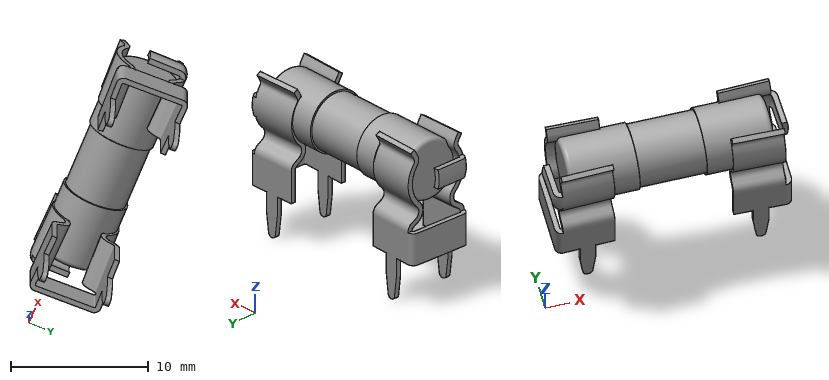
import cadquery as cq
import math

fuse_axis_z = 0.16
tube_diameter = 4.71
tube_length = 5.04
cap_diameter = 5.0
fuse_length = 15.37
cap_edge_radius = 0.37

sheet = 0.4
clip_width = 5.5
back_x = -8.87
corner_radius = 0.51
wall_length = 3.9
toe_in = 1.6
plate_top = -3.78
plate_bottom = -6.4
half_width = clip_width / 2
corner_x = back_x + corner_radius
corner_y = half_width - corner_radius

jaw_radius = 2.72
shoulder_radius = 0.75
waist_radius = 0.6
waist_angle = 46.0
lip_radius = 0.4
lip_bend_angle = 36.0
lip_flare = 30.0
lip_top = 2.75

leg_x = -6.5
leg_width = 1.17
leg_taper_start = -7.89
leg_tip_start = -9.57
leg_tip_width = 0.73
leg_bottom = -9.92

finger_height = 1.57
finger_bend_radius = 0.7
finger_length = 2.45


def polar(centre, radius, degrees):
    """Point at a distance and direction from a centre."""
    angle = math.radians(degrees)
    return (centre[0] + radius * math.cos(angle), centre[1] + radius * math.sin(angle))


def wall_bends():
    """Shoulder, waist, jaw and lip of the +Y wall: centre, outer and inner radius, start and end angle."""
    shoulder = (half_width - shoulder_radius, plate_top)
    waist = polar((0, 0), jaw_radius + waist_radius, -waist_angle)
    lip = polar((0, 0), jaw_radius + lip_radius, lip_bend_angle)
    across = waist[0] - shoulder[0]
    up = waist[1] - shoulder[1]
    tangent_turn = math.acos((shoulder_radius + waist_radius) / math.hypot(across, up))
    slope = math.degrees(math.atan2(up, across) - tangent_turn)
    return [
        (shoulder, shoulder_radius, shoulder_radius - sheet, 0, slope),
        (waist, waist_radius, waist_radius + sheet, 180 + slope, 180 - waist_angle),
        ((0, 0), jaw_radius, jaw_radius - sheet, -waist_angle, lip_bend_angle),
        (lip, lip_radius, lip_radius + sheet, 180 + lip_bend_angle, 180 - lip_flare),
    ]


def arc_points(centre, radius, start, end):
    """Middle and end point of an arc between two angles."""
    return polar(centre, radius, (start + end) / 2), polar(centre, radius, end)


def wall_section():
    """Closed outline of the +Y side wall across X."""
    shoulder, waist, jaw, lip = wall_bends()
    outer_arcs = []
    inner_arcs = []
    for centre, outer, inner, start, end in (shoulder, waist, jaw, lip):
        outer_arcs.append((centre, outer, start, end))
        inner_arcs.append((centre, inner, end, start))

    outer_waist_start = polar(waist[0], waist[1], waist[3])
    inner_lip_start = polar(lip[0], lip[2], lip[4])
    inner_shoulder_start = polar(shoulder[0], shoulder[2], shoulder[4])
    flare_run = (lip_top - inner_lip_start[1]) * math.tan(math.radians(lip_flare))
    inner_tip = (inner_lip_start[0] + flare_run, lip_top)
    outer_tip = polar(inner_tip, sheet, -lip_flare)

    return (
        cq.Workplane("YZ", origin=(corner_x, 0, 0))
        .moveTo(half_width, plate_bottom)
        .lineTo(half_width, plate_top)
        .threePointArc(*arc_points(*outer_arcs[0]))
        .lineTo(*outer_waist_start)
        .threePointArc(*arc_points(*outer_arcs[1]))
        .threePointArc(*arc_points(*outer_arcs[2]))
        .threePointArc(*arc_points(*outer_arcs[3]))
        .lineTo(*outer_tip)
        .lineTo(*inner_tip)
        .lineTo(*inner_lip_start)
        .threePointArc(*arc_points(*inner_arcs[3]))
        .threePointArc(*arc_points(*inner_arcs[2]))
        .threePointArc(*arc_points(*inner_arcs[1]))
        .lineTo(*inner_shoulder_start)
        .threePointArc(*arc_points(*inner_arcs[0]))
        .lineTo(half_width - sheet, plate_bottom)
        .close()
    )


def leg():
    """Tapered solder leg with a round tip, below the +Y side wall."""
    return (
        cq.Workplane("XZ", origin=(leg_x, half_width, 0))
        .moveTo(-leg_width / 2, plate_bottom)
        .lineTo(-leg_width / 2, leg_taper_start)
        .lineTo(-leg_tip_width / 2, leg_tip_start)
        .threePointArc((0, leg_bottom), (leg_tip_width / 2, leg_tip_start))
        .lineTo(leg_width / 2, leg_taper_start)
        .lineTo(leg_width / 2, plate_bottom)
        .close()
        .extrude(sheet)
    )


def finger_section(across, normal):
    """Slice of the jaw's round section, set off from the finger's bend axis along `across`."""
    axis_y = jaw_radius - finger_bend_radius
    half_height = finger_height / 2
    inner_radius = jaw_radius - sheet
    outer_edge = math.sqrt(jaw_radius**2 - half_height**2) - axis_y
    inner_edge = math.sqrt(inner_radius**2 - half_height**2) - axis_y
    return (
        cq.Workplane(cq.Plane(origin=(corner_x, axis_y, 0), xDir=across, normal=normal))
        .moveTo(outer_edge, -half_height)
        .threePointArc((jaw_radius - axis_y, 0), (outer_edge, half_height))
        .lineTo(inner_edge, half_height)
        .threePointArc((inner_radius - axis_y, 0), (inner_edge, -half_height))
        .close()
    )


def finger():
    """Finger that turns round from the +Y jaw across the end of the fuse."""
    bend = finger_section((0, 1, 0), (1, 0, 0)).revolve(90, (0, 0), (0, 1))
    straight = finger_section((-1, 0, 0), (0, 1, 0)).extrude(-finger_length)
    return bend.union(straight)


def lean_in(wall):
    """Turn a +Y side wall about its corner bend, towards the fuse."""
    return wall.rotate((corner_x, corner_y, 0), (corner_x, corner_y, 1), -toe_in)


def corner_bend():
    """Bend from the back plate to the leaning +Y side wall."""
    plate_height = plate_top - plate_bottom
    return (
        cq.Workplane("XZ", origin=(corner_x, corner_y, plate_bottom))
        .moveTo(-corner_radius, 0)
        .rect(sheet, plate_height, centered=False)
        .revolve(90 + toe_in, (0, 0), (0, -1))
    )


def make_clip():
    """Left clip: back plate, two side walls with legs, and a finger on the -Y wall."""
    back = cq.Workplane("XY", origin=(back_x, -corner_y, plate_bottom)).box(
        sheet, 2 * corner_y, plate_top - plate_bottom, centered=False
    )
    wall = wall_section().extrude(wall_length).union(leg())
    plain_side = lean_in(wall).union(corner_bend())
    finger_side = lean_in(wall.union(finger())).union(corner_bend()).mirror("XZ")
    return back.union(plain_side).union(finger_side)


def make_tube():
    return (
        cq.Workplane("YZ", origin=(-tube_length / 2, 0, fuse_axis_z))
        .circle(tube_diameter / 2)
        .extrude(tube_length)
    )


def make_cap(clip):
    """Left cap, with seats where the jaws of its clip press in."""
    return (
        cq.Workplane("YZ", origin=(-fuse_length / 2, 0, fuse_axis_z))
        .circle(cap_diameter / 2)
        .extrude((fuse_length - tube_length) / 2)
        .faces("<X")
        .edges()
        .fillet(cap_edge_radius)
        .cut(clip)
    )


left_clip = make_clip()
left_cap = make_cap(left_clip)
tube = make_tube()

clips = []
caps = []
for turn in (0, 180):
    clips.append(left_clip.rotate((0, 0, 0), (0, 0, 1), turn))
    caps.append(left_cap.rotate((0, 0, 0), (0, 0, 1), turn))

result = cq.Compound.makeCompound([body.val() for body in [tube, *caps, *clips]])